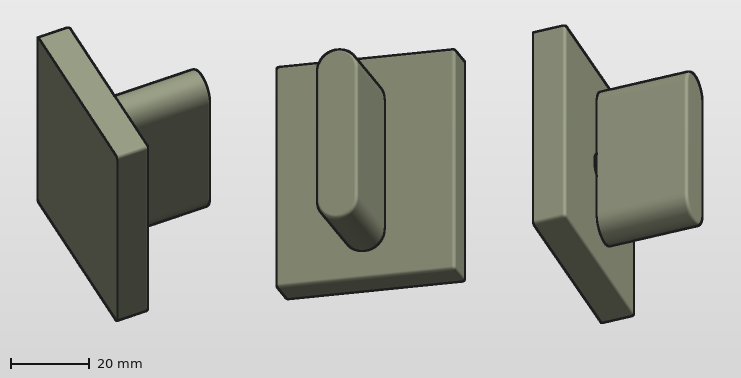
import cadquery as cq

PLATE_WIDTH = 47.5
PLATE_HEIGHT = 60.0
PLATE_THICKNESS = 9.0
PLATE_ROUND = 0.9

TOTAL_DEPTH = 35.0
NECK_LENGTH = 1.0
NECK_DIAMETER = 8.5
NECK_FILLET = 0.5
HANDLE_WIDTH = 11.0
HANDLE_HEIGHT = 46.0
HANDLE_BACK_ROUND = 0.9
HANDLE_FRONT_ROUND = 0.3

HANDLE_START = PLATE_THICKNESS + NECK_LENGTH
HANDLE_DEPTH = TOTAL_DEPTH - HANDLE_START


def section_at(y):
    """Workplane parallel to XZ at the given Y, with its normal along +Y."""
    return cq.Workplane(cq.Plane(origin=(0, y, 0), xDir=(1, 0, 0), normal=(0, 1, 0)))


def make_plate():
    """Rectangular plate with rounded corners and a rounded back rim."""
    plate = section_at(0).rect(PLATE_WIDTH, PLATE_HEIGHT).extrude(PLATE_THICKNESS)
    return plate.edges("|Y").fillet(PLATE_ROUND).faces(">Y").edges().fillet(PLATE_ROUND)


def make_handle():
    """Round-ended bar with its neck blended into the front face."""
    bar = section_at(HANDLE_START).slot2D(HANDLE_HEIGHT, HANDLE_WIDTH, 90).extrude(HANDLE_DEPTH)
    bar = bar.faces(">Y").edges().fillet(HANDLE_BACK_ROUND)
    bar = bar.faces("<Y").edges().fillet(HANDLE_FRONT_ROUND)
    neck_radius = NECK_DIAMETER / 2
    neck = section_at(PLATE_THICKNESS).circle(neck_radius).extrude(NECK_LENGTH)
    joint = cq.selectors.BoxSelector(
        (-neck_radius, HANDLE_START - NECK_FILLET / 2, -neck_radius),
        (neck_radius, HANDLE_START + NECK_FILLET / 2, neck_radius),
    )
    return bar.union(neck).edges(joint).fillet(NECK_FILLET)


plate = make_plate()
handle = make_handle()
result = cq.Compound.makeCompound([plate.solids().val(), handle.solids().val()])